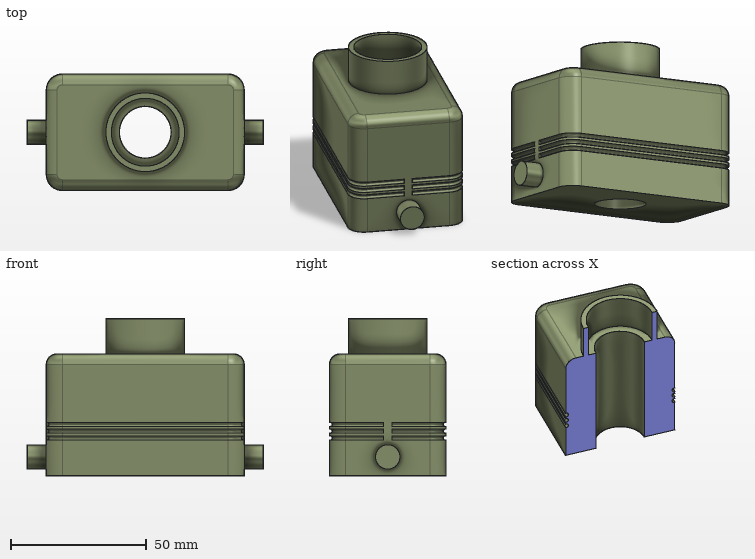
import cadquery as cq
import math

body_length = 73.0
body_width = 43.0
body_height = 45.0
corner_radius = 6.0
top_edge_radius = 4.0

collar_diameter = 29.0
collar_height = 13.0
collar_bore_diameter = 25.0
cable_hole_diameter = 19.0

pin_diameter = 9.0
pin_projection = 7.0
pin_height = 7.0

groove_count = 3
groove_width = 1.5
groove_depth = 1.0
groove_bottom_radius = 0.7
groove_pitch = 2.5
lowest_groove_height = 14.0
groove_gap = 3.0


def make_body():
    """Block with rounded upright corners and a rounded top edge, standing on Z = 0."""
    block = cq.Workplane("XY").box(body_length, body_width, body_height, centered=(True, True, False))
    return block.edges("|Z").fillet(corner_radius).faces(">Z").edges().fillet(top_edge_radius)


def make_pins():
    """One round bar through the body; its two ends stand out as the locking pins."""
    bar_length = body_length + 2 * pin_projection
    bar = cq.Workplane("YZ").center(0, pin_height).circle(pin_diameter / 2)
    return bar.extrude(bar_length / 2, both=True)


def make_collar():
    """Round collar standing on the top face."""
    return cq.Workplane("XY").workplane(offset=body_height).circle(collar_diameter / 2).extrude(collar_height)


def cut_cable_entry(part):
    """Wide bore down the collar, then a narrower hole through the whole body."""
    bore = cq.Workplane("XY").workplane(offset=body_height).circle(collar_bore_diameter / 2)
    hole = cq.Workplane("XY").circle(cable_hole_diameter / 2)
    return part.cut(bore.extrude(collar_height)).cut(hole.extrude(body_height))


def make_half_groove(height):
    """Cutter for one round-bottomed groove along the -Y half of the body, between the end-face gaps."""
    half_length = body_length / 2
    half_width = body_width / 2
    corner_x = half_length - corner_radius
    corner_y = half_width - corner_radius
    arc_offset = corner_radius * math.sqrt(0.5)
    path = (
        cq.Workplane("XY", origin=(0, 0, height))
        .moveTo(-half_length, -groove_gap / 2)
        .lineTo(-half_length, -corner_y)
        .threePointArc((-corner_x - arc_offset, -corner_y - arc_offset), (-corner_x, -half_width))
        .lineTo(corner_x, -half_width)
        .threePointArc((corner_x + arc_offset, -corner_y - arc_offset), (half_length, -corner_y))
        .lineTo(half_length, -groove_gap / 2)
    )
    outline = cq.Sketch().rect(2 * groove_depth, groove_width).vertices().fillet(groove_bottom_radius)
    profile = cq.Workplane("XZ", origin=(-half_length, -groove_gap / 2, height))
    return profile.placeSketch(outline).sweep(path)


def cut_grooves(part):
    """Evenly spaced grooves on both halves of the body."""
    for index in range(groove_count):
        half_groove = make_half_groove(lowest_groove_height + index * groove_pitch)
        part = part.cut(half_groove).cut(half_groove.mirror("XZ"))
    return part


body = cut_grooves(make_body())
result = cut_cable_entry(body.union(make_pins()).union(make_collar()))